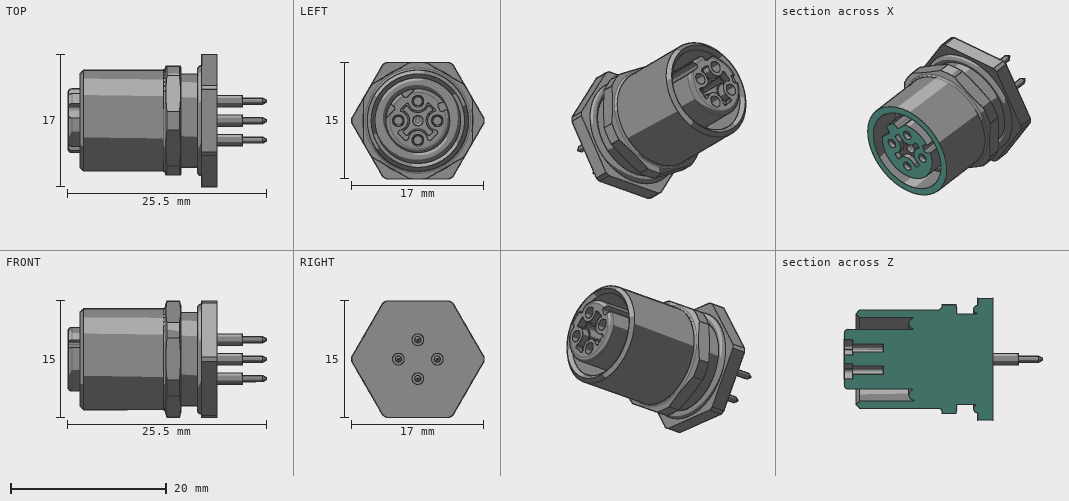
import cadquery as cq
import math


x_direction = cq.Vector(1, 0, 0)

shell_front = 1.5
nut_front = 12.5
nut_back = 14.5
flange_front = 17.15
flange_back = 19.15
solder_shank_end = 22.4
pin_taper_start = 25.0
pin_end = 25.5

shell_radius = 13 / 2
shell_chamfer = 0.5
bore_radius = 11 / 2
cavity_floor = 9.0
neck_radius = 12 / 2

nut_across_flats = 14.0
nut_corner_radius = 15 / 2
nut_end_radius = 6.77
nut_chamfer_length = 0.2
nut_root_rounding = nut_end_radius - shell_radius
nut_corner_angle = 30.0
flange_across_flats = 15.0
flange_corner_radius = 17 / 2
flange_corner_angle = 0.0

insert_radius = 4.1
insert_rounding = 0.5

cavity_seal_tube_radius = (bore_radius - insert_radius) / 2
flange_seal_tube_radius = 0.54

coding_depth = 7.5
flat_distance = 3.12
tongue_width = 1.82
tongue_root_rounding = 0.25
tongue_angle = 45.0
keyway_floor = 3.12
keyway_width = 1.1
keyway_offset = 0.45
keyway_angle = 157.5
keyway_rounding = 0.25

contact_circle_radius = 2.5
contact_count = 4
contact_hole_diameter = 1.15
contact_mouth_diameter = 1.5
contact_mouth_depth = 3.5
contact_hole_depth = 5.0
shank_diameter = 1.5
pin_diameter = 0.8
pin_tip_diameter = 0.2

upper_arm_angles = [45, 135]
lower_arm_angles = [225, 315]
pocket_step_depth = 1.1
pocket_depth = 5.0
pocket_centre_radius = 1.4
pocket_wall_radius = 1.24
deep_wall_radius = 1.44
arm_reach = 2.58
arm_width = 1.45
arm_rounding = 0.2
long_arm_reach = 2.95
long_arm_width = 1.55
deep_arm_reach = 2.4
deep_arm_width = 0.8
deep_arm_rounding = 0.13
socket_radius = 0.66
socket_depth = 1.0
socket_rounding = 0.35


def cylinder(x_start, x_end, radius, y=0.0, z=0.0):
    return cq.Workplane("YZ", origin=(x_start, y, z)).circle(radius).extrude(x_end - x_start)


def cone(x_start, x_end, radius_start, radius_end, y=0.0, z=0.0):
    axis_start = cq.Vector(x_start, y, z)
    solid = cq.Solid.makeCone(radius_start, radius_end, x_end - x_start, axis_start, x_direction)
    return cq.Workplane(solid)


def torus(x_centre, ring_radius, tube_radius):
    ring_centre = cq.Vector(x_centre, 0, 0)
    return cq.Workplane(cq.Solid.makeTorus(ring_radius, tube_radius, ring_centre, x_direction))


def block(length, reach_start, reach_end, side_start, side_end):
    """Block from the mating face to X = length, spanning the given reaches along Y and sides along Z."""
    solid = cq.Workplane("XY").box(length, reach_end - reach_start, side_end - side_start, centered=False)
    return solid.translate((0, reach_start, side_start))


def turned(solid, angle):
    """Turn about the X axis, from +Y towards +Z."""
    return solid.rotate((0, 0, 0), (1, 0, 0), angle)


def hexagon(x_start, x_end, across_flats, first_corner_angle):
    across_corners = across_flats / math.cos(math.pi / 6)
    outline = cq.Workplane("YZ", origin=(x_start, 0, 0)).polygon(6, across_corners)
    return turned(outline.extrude(x_end - x_start), first_corner_angle)


def contact_positions():
    step = 2 * math.pi / contact_count
    return [
        (contact_circle_radius * math.cos(i * step), contact_circle_radius * math.sin(i * step))
        for i in range(contact_count)
    ]


def make_shell():
    shell = cylinder(shell_front, nut_back, shell_radius).faces("<X").chamfer(shell_chamfer)
    shell = shell.cut(cylinder(shell_front, cavity_floor, bore_radius))
    mouth_chamfer = cone(
        shell_front, shell_front + shell_chamfer, bore_radius + shell_chamfer, bore_radius
    )
    neck = cylinder(nut_back, flange_front, neck_radius)
    return shell.cut(mouth_chamfer).union(neck)


def make_nut():
    front_cone_end = nut_front + nut_chamfer_length
    back_cone_start = nut_back - nut_chamfer_length
    envelope = (
        cone(nut_front, front_cone_end, nut_end_radius, nut_corner_radius)
        .union(cylinder(front_cone_end, back_cone_start, nut_corner_radius))
        .union(cone(back_cone_start, nut_back, nut_corner_radius, nut_end_radius))
    )
    nut = hexagon(nut_front, nut_back, nut_across_flats, nut_corner_angle).intersect(envelope)
    root_start = nut_front - nut_root_rounding
    root = cylinder(root_start, nut_front, nut_end_radius)
    root = root.cut(torus(root_start, nut_end_radius, nut_root_rounding))
    bore = cylinder(root_start, nut_back, neck_radius)
    return nut.union(root).cut(bore)


def make_flange():
    envelope = cylinder(flange_front, flange_back, flange_corner_radius)
    return hexagon(flange_front, flange_back, flange_across_flats, flange_corner_angle).intersect(envelope)


def make_seals():
    cavity_seal = torus(cavity_floor, insert_radius + cavity_seal_tube_radius, cavity_seal_tube_radius)
    flange_seal = torus(flange_front, neck_radius + flange_seal_tube_radius, flange_seal_tube_radius)
    return cavity_seal, flange_seal


def cut_coding(insert):
    beyond_insert = insert_radius + 1
    relief = block(coding_depth, flat_distance, beyond_insert, tongue_width / 2, insert_radius)
    relief = relief.edges("|X and <Y and <Z").fillet(tongue_root_rounding)
    insert = insert.cut(turned(relief, tongue_angle))
    insert = insert.cut(turned(relief.mirror("XY"), tongue_angle))

    keyway_side = -keyway_offset - keyway_width / 2
    keyway = block(coding_depth, keyway_floor, beyond_insert, keyway_side, keyway_side + keyway_width)
    keyway = keyway.edges("|X and <Y").fillet(keyway_rounding)
    return insert.cut(turned(keyway, keyway_angle))


def pocket_arm(depth, reach, width, rounding, angle):
    arm = block(depth, 0, reach, -width / 2, width / 2)
    return turned(arm.edges("|X and >Y").fillet(rounding), angle)


def cross(depth, wall_radius, rounding, arms):
    """Prism with one (angle, reach, width) arm after another, hollowed around the contacts."""
    prism = cylinder(0, depth, pocket_centre_radius)
    for angle, reach, width in arms:
        prism = prism.union(pocket_arm(depth, reach, width, rounding, angle))
    for y, z in contact_positions():
        prism = prism.cut(cylinder(0, depth, wall_radius, y, z))
    return prism


def cut_pocket(insert):
    upper_arms = [(angle, arm_reach, arm_width) for angle in upper_arm_angles]
    lower_arms = [(angle, long_arm_reach, long_arm_width) for angle in lower_arm_angles]
    deep_arms = [(angle, deep_arm_reach, deep_arm_width) for angle in upper_arm_angles + lower_arm_angles]
    mouth = cross(pocket_step_depth, pocket_wall_radius, arm_rounding, upper_arms + lower_arms)
    core = cross(pocket_depth, deep_wall_radius, deep_arm_rounding, deep_arms)
    socket = cylinder(pocket_depth, pocket_depth + socket_depth, socket_radius)
    socket = socket.faces(">X").edges().fillet(socket_rounding)
    return insert.cut(mouth).cut(core).cut(socket)


def cut_contact_holes(insert):
    mouth_radius = contact_mouth_diameter / 2
    hole_radius = contact_hole_diameter / 2
    cone_end = contact_mouth_depth + mouth_radius - hole_radius
    for y, z in contact_positions():
        mouth = cylinder(0, contact_mouth_depth, mouth_radius, y, z)
        lead_in = cone(contact_mouth_depth, cone_end, mouth_radius, hole_radius, y, z)
        hole = cylinder(cone_end, contact_hole_depth, hole_radius, y, z)
        insert = insert.cut(mouth).cut(lead_in).cut(hole)
    return insert


def make_insert():
    insert = cylinder(0, cavity_floor, insert_radius).faces("<X").edges().fillet(insert_rounding)
    return cut_contact_holes(cut_pocket(cut_coding(insert)))


def make_pin(y, z):
    pin_radius = pin_diameter / 2
    shank = cylinder(flange_back, solder_shank_end, shank_diameter / 2, y, z)
    pin = cylinder(solder_shank_end, pin_taper_start, pin_radius, y, z)
    tip = cone(pin_taper_start, pin_end, pin_radius, pin_tip_diameter / 2, y, z)
    return shank.union(pin).union(tip)


result = make_shell().union(make_nut()).union(make_flange())
result = result.union(make_insert())
for seal in make_seals():
    result = result.union(seal)
for pin_y, pin_z in contact_positions():
    result = result.union(make_pin(pin_y, pin_z))